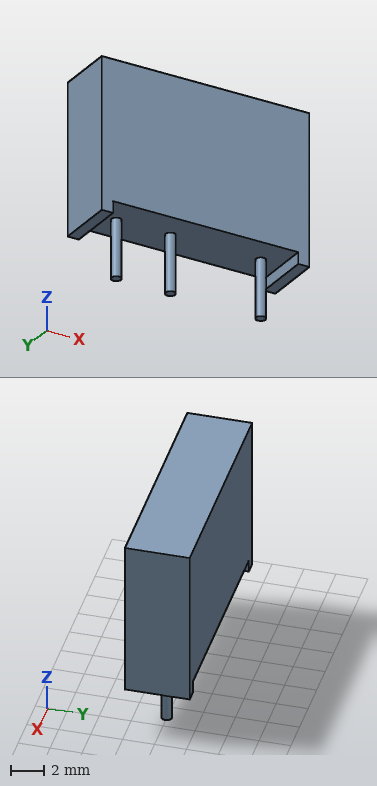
import cadquery as cq

LENGTH = 14.6
DEPTH = 4.06
HOUSING_HEIGHT = 10.5
FOOT_HEIGHT = 0.8
FOOT_WIDTH = 0.79

OVERALL_HEIGHT = 13.7
PIN_DIAMETER = 0.65
PIN_PITCH = 1.27
FIRST_PIN_X = -5.08
PIN_STEPS = [0, 3, 8]

PIN_BOTTOM = HOUSING_HEIGHT - OVERALL_HEIGHT
PIN_LENGTH = FOOT_HEIGHT - PIN_BOTTOM


def make_housing():
    """Block with a recess across the underside that leaves the two feet."""
    block = cq.Workplane("XY").box(LENGTH, DEPTH, HOUSING_HEIGHT, centered=(True, True, False))
    recess = cq.Workplane("XY").box(
        LENGTH - 2 * FOOT_WIDTH, DEPTH, FOOT_HEIGHT, centered=(True, True, False)
    )
    return block.cut(recess)


def make_pin(x):
    """Pin whose top end meets the roof of the recess."""
    return cq.Workplane("XY", origin=(x, 0, PIN_BOTTOM)).circle(PIN_DIAMETER / 2).extrude(PIN_LENGTH)


housing = make_housing()
pins = [make_pin(FIRST_PIN_X + step * PIN_PITCH) for step in PIN_STEPS]

result = cq.Compound.makeCompound([housing.val(), *[pin.val() for pin in pins]])